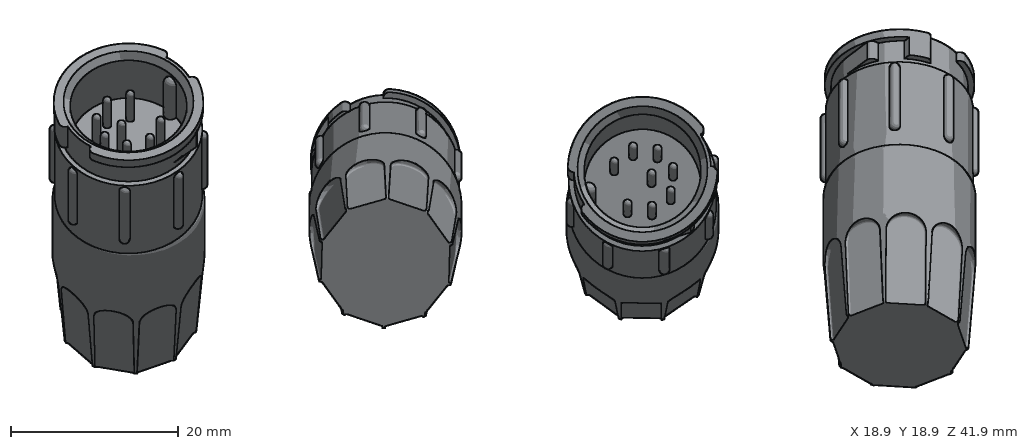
import cadquery as cq
import math

TOTAL_HEIGHT = 41.9
OUTER_DIAMETER = 18.9

NECK_RADIUS = 8.17
RING_RADIUS = 8.93
BODY_RADIUS = 8.8
SLEEVE_RADIUS = 9.1
GRIP_END_RADIUS = 8.25

NECK_BOTTOM = 36.9
SLEEVE_SHOULDER = 23.15
SHOULDER_ROUND = 1.25
GRIP_TOP = 13.08
GRIP_END_ROUND = 0.4

POCKET_COUNT = 10
POCKET_RADIUS = 2.4
POCKET_DEPTH = 0.3
POCKET_CORNER = 0.25

RIB_COUNT = 8
RIB_RADIUS = OUTER_DIAMETER / 2 - BODY_RADIUS
RIB_TOP = 35.9
RIB_BOTTOM = 26.82

RING_LOW_EDGE = 40.53
RING_HIGH_EDGE = 40.75
TAB_BOTTOM = 37.93
NOTCH_WIDTH = 4.02
RING_END_ROUND = 0.75
RING_TAB_END = 4.95
FLAT_TAB_FACE_LENGTH = 3.5
FLAT_TAB_LENGTH = 4.2
FLAT_TAB_ROUND = 1.1

BORE_RADIUS = 6.95
BORE_CHAMFER = 0.8
BORE_FLOOR = 33.9
KEY_RADIUS = 0.85
KEY_OFFSET = 6.7
KEY_TOP = 40.75
PIN_RADIUS = 0.5
PIN_TOP = 39.05
PIN_CIRCLE_RADIUS = 3.8
PIN_ANGLE_STEP = 45
KEY_ANGLE = 90
INNER_PIN_OFFSET = 1.15


def cylinder(radius, bottom, top):
    return cq.Workplane("XY").workplane(offset=bottom).circle(radius).extrude(top - bottom)


def domed_post(x, y, radius, bottom, top):
    """Round post whose spherical end peaks at top."""
    dome_centre = top - radius
    dome = cq.Workplane("XY").sphere(radius).translate((0, 0, dome_centre))
    return cylinder(radius, bottom, dome_centre).union(dome).translate((x, y, 0))


def half_turn_pair(shape):
    """The shape together with its copy turned half a turn about Z."""
    return shape.union(shape.rotate((0, 0, 0), (0, 0, 1), 180))


def make_shell():
    """Revolved neck, body and sleeve, ending in the tapered grip."""
    round_rise = math.sqrt(SHOULDER_ROUND**2 - (SHOULDER_ROUND - SLEEVE_RADIUS + BODY_RADIUS) ** 2)
    profile = (
        cq.Workplane("XZ")
        .lineTo(GRIP_END_RADIUS, 0)
        .lineTo(SLEEVE_RADIUS, GRIP_TOP)
        .lineTo(SLEEVE_RADIUS, SLEEVE_SHOULDER)
        .radiusArc((BODY_RADIUS, SLEEVE_SHOULDER + round_rise), -SHOULDER_ROUND)
        .lineTo(BODY_RADIUS, NECK_BOTTOM)
        .lineTo(NECK_RADIUS, NECK_BOTTOM)
        .lineTo(NECK_RADIUS, TOTAL_HEIGHT)
        .lineTo(0, TOTAL_HEIGHT)
        .close()
    )
    shell = profile.revolve(360, (0, 0, 0), (0, 1, 0))
    return shell.faces("<Z").edges().fillet(GRIP_END_ROUND)


def make_pocket_cutter():
    """Round-topped slot on the -Y side, parallel to the taper and open at the bottom end."""
    taper = math.atan2(SLEEVE_RADIUS - GRIP_END_RADIUS, GRIP_TOP)
    rim = math.sqrt(GRIP_END_RADIUS**2 - POCKET_RADIUS**2)
    floor = rim - POCKET_DEPTH
    reach = SLEEVE_RADIUS - floor
    slant_top = GRIP_TOP / math.cos(taper)
    arc_start = slant_top - POCKET_RADIUS
    overrun = POCKET_RADIUS
    return (
        cq.Workplane("XZ")
        .moveTo(-POCKET_RADIUS, -overrun)
        .lineTo(POCKET_RADIUS, -overrun)
        .lineTo(POCKET_RADIUS, arc_start)
        .threePointArc((0, slant_top), (-POCKET_RADIUS, arc_start))
        .close()
        .extrude(reach)
        .faces(">Y")
        .edges()
        .fillet(POCKET_CORNER)
        .rotate((0, 0, 0), (1, 0, 0), math.degrees(taper))
        .translate((0, -floor, 0))
    )


def make_rib():
    """Round-ended rib centred on the body surface on the +X side."""
    bar = cylinder(RIB_RADIUS, RIB_BOTTOM, RIB_TOP)
    for end in (RIB_BOTTOM, RIB_TOP):
        bar = bar.union(cq.Workplane("XY").sphere(RIB_RADIUS).translate((0, 0, end)))
    return bar.translate((BODY_RADIUS, 0, 0))


def make_ring():
    """Bayonet ring: two halves whose undersides ramp upward, parted by two notches."""
    ramp = (
        cq.Workplane("YZ")
        .moveTo(-RING_RADIUS, RING_LOW_EDGE)
        .lineTo(RING_RADIUS, RING_HIGH_EDGE)
        .lineTo(RING_RADIUS, TOTAL_HEIGHT)
        .lineTo(-RING_RADIUS, TOTAL_HEIGHT)
        .close()
        .extrude(RING_RADIUS)
    )
    tab = (
        cq.Workplane("XY")
        .workplane(offset=TAB_BOTTOM)
        .rect(RING_TAB_END, RING_RADIUS, centered=False)
        .extrude(TOTAL_HEIGHT - TAB_BOTTOM)
    )
    outline = cylinder(RING_RADIUS, TAB_BOTTOM, TOTAL_HEIGHT)
    notches = cq.Workplane("XY").box(NOTCH_WIDTH, 2 * RING_RADIUS, 2 * TOTAL_HEIGHT)
    outline = outline.cut(notches).edges("|Z").fillet(RING_END_ROUND)
    return half_turn_pair(ramp.union(tab)).intersect(outline)


def make_flat_tabs():
    """Tabs under the ring, each with a flat face tangent to the neck and a rounded end."""
    root = math.sqrt(NECK_RADIUS**2 - FLAT_TAB_LENGTH**2)
    tab = (
        cq.Workplane("XY")
        .workplane(offset=TAB_BOTTOM)
        .lineTo(NECK_RADIUS, 0)
        .lineTo(NECK_RADIUS, FLAT_TAB_FACE_LENGTH)
        .radiusArc((root, FLAT_TAB_LENGTH), -FLAT_TAB_ROUND)
        .close()
        .extrude(RING_HIGH_EDGE - TAB_BOTTOM)
    )
    return half_turn_pair(tab)


def make_bore():
    """Flat-bottomed socket bore with a chamfered mouth."""
    mouth_radius = BORE_RADIUS + BORE_CHAMFER
    profile = (
        cq.Workplane("XZ")
        .moveTo(0, BORE_FLOOR)
        .lineTo(BORE_RADIUS, BORE_FLOOR)
        .lineTo(BORE_RADIUS, TOTAL_HEIGHT - BORE_CHAMFER)
        .lineTo(mouth_radius, TOTAL_HEIGHT)
        .lineTo(0, TOTAL_HEIGHT)
        .close()
    )
    return profile.revolve(360, (0, 0, 0), (0, 1, 0))


result = make_shell()

pocket = make_pocket_cutter()
for i in range(POCKET_COUNT):
    result = result.cut(pocket.rotate((0, 0, 0), (0, 0, 1), i * 360 / POCKET_COUNT))

rib = make_rib()
for i in range(RIB_COUNT):
    result = result.union(rib.rotate((0, 0, 0), (0, 0, 1), i * 360 / RIB_COUNT))

result = result.union(make_ring()).union(make_flat_tabs()).cut(make_bore())

result = result.union(domed_post(0, KEY_OFFSET, KEY_RADIUS, BORE_FLOOR, KEY_TOP))
for angle in range(-180, 180, PIN_ANGLE_STEP):
    if angle != KEY_ANGLE:
        x = PIN_CIRCLE_RADIUS * math.cos(math.radians(angle))
        y = PIN_CIRCLE_RADIUS * math.sin(math.radians(angle))
        result = result.union(domed_post(x, y, PIN_RADIUS, BORE_FLOOR, PIN_TOP))
result = result.union(domed_post(0, -INNER_PIN_OFFSET, PIN_RADIUS, BORE_FLOOR, PIN_TOP))